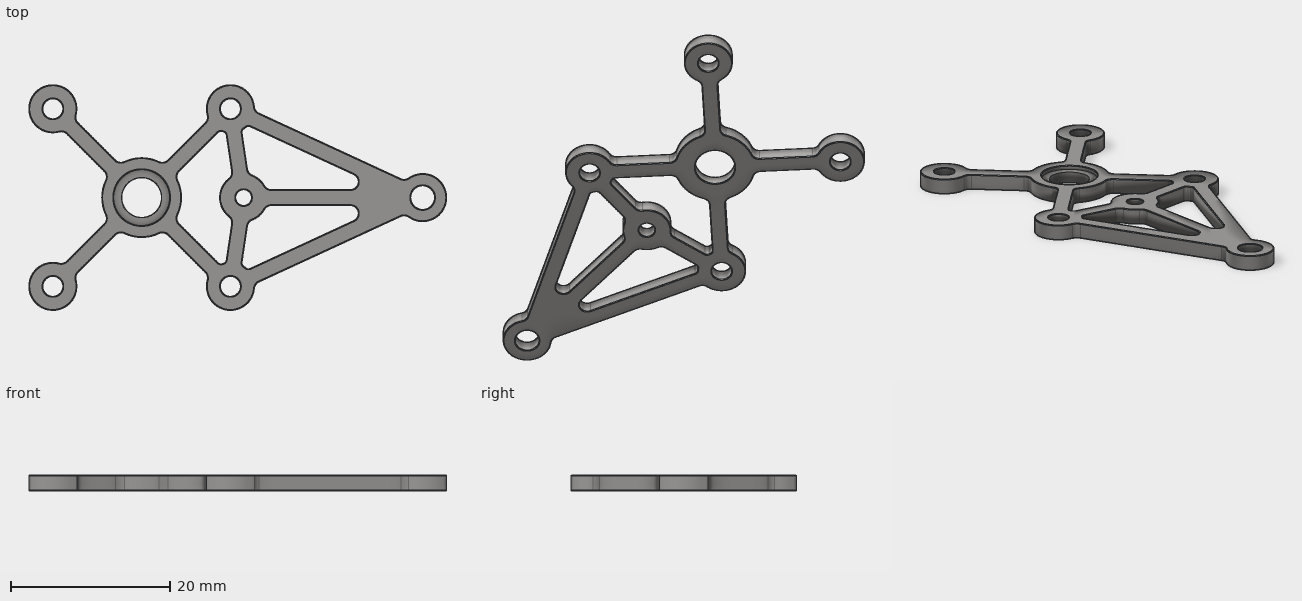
import cadquery as cq
import math

length = 52.4
thickness = 2.0
boss_diameter = 6.0
arm_width = 2.0
corner_pitch = 22.25
middle_x = 12.8

hub_diameter = 10.0
hub_bore_diameter = 5.0
hub_recess_diameter = 7.0
hub_recess_depth = 0.5

corner_hole_diameter = 2.5
middle_hole_diameter = 2.0
nose_hole_diameter = 3.0

joint_fillet = 1.0
window_corner_fillet = 0.5
edge_chamfer = 0.1

boss_radius = boss_diameter / 2
corner = corner_pitch / 2
hub = (0, 0)
middle = (middle_x, 0)
nose = (length - boss_diameter - corner, 0)
rear_corners = [(-corner, -corner), (-corner, corner)]
front_corners = [(corner, -corner), (corner, corner)]
corners = rear_corners + front_corners


def disc(center, diameter, height=thickness):
    """Upright cylinder standing on the underside of the plate."""
    return cq.Workplane("XY").center(*center).circle(diameter / 2).extrude(height)


def arm(start, end):
    """Straight bar running between two centres."""
    run = end[0] - start[0]
    rise = end[1] - start[1]
    angle = math.degrees(math.atan2(rise, run))
    bar = cq.Workplane("XY").box(math.hypot(run, rise), arm_width, thickness, centered=(False, True, False))
    return bar.rotate((0, 0, 0), (0, 0, 1), angle).translate((start[0], start[1], 0))


def window_corners(center):
    """Selector for the upright edges where the windows meet a front corner boss."""
    x, y = center
    side = math.copysign(1, y)
    near = y - side * boss_radius / 2
    far = y - side * boss_diameter
    return cq.selectors.BoxSelector((x - boss_radius, near, 0), (x + boss_radius, far, thickness))


def solid_frame():
    """Hub, bosses and the arms that join them, with rounded joints."""
    frame = disc(hub, hub_diameter)
    for center in corners + [middle, nose]:
        frame = frame.union(disc(center, boss_diameter))
    for center in corners:
        frame = frame.union(arm(hub, center))
    for center in front_corners:
        frame = frame.union(arm(center, middle))
        frame = frame.union(arm(center, nose))
    frame = frame.union(arm(middle, nose))

    lower_window, upper_window = [window_corners(center) for center in front_corners]
    tight_corners = lower_window + upper_window
    upright_edges = cq.selectors.ParallelDirSelector(cq.Vector(0, 0, 1))
    frame = frame.edges(upright_edges - tight_corners).fillet(joint_fillet)
    return frame.edges(upright_edges & tight_corners).fillet(window_corner_fillet)


def cut_holes(frame):
    """Through holes in the hub and the bosses."""
    frame = frame.cut(disc(hub, hub_bore_diameter))
    for center in corners:
        frame = frame.cut(disc(center, corner_hole_diameter))
    frame = frame.cut(disc(middle, middle_hole_diameter))
    return frame.cut(disc(nose, nose_hole_diameter))


def cut_hub_recess(frame):
    """Shallow round seat in the top of the hub."""
    recess = disc(hub, hub_recess_diameter, hub_recess_depth)
    return frame.cut(recess.translate((0, 0, thickness - hub_recess_depth)))


plate = cut_hub_recess(cut_holes(solid_frame()))
result = plate.faces("<Z or >Z").chamfer(edge_chamfer).solids()